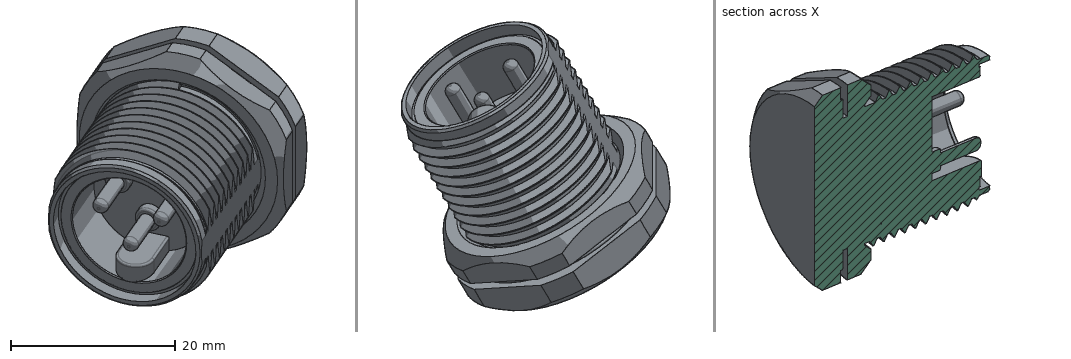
import cadquery as cq
import math


CORNER_DIAMETER = 28.95
ACROSS_FLATS = 27.0
TOTAL_LENGTH = 26.5

FLANGE_LENGTH = 4.03
FLANGE_CHAMFER = 1.22
SEAL_LENGTH = 0.35
SEAL_RADIUS = 12.68
SEAL_ROUNDING = 0.32
NECK_LENGTH = 0.6
NECK_RADIUS = 9.82

NUT_LENGTH = 3.6
NUT_CHAMFER = 1.53
NUT_BORE_RADIUS = 10.43
NUT_COUNTERSINK = 0.93

STEM_FLAT_DISTANCE = 10.0
ROOT_RADIUS = 10.16
CREST_RADIUS = 11.03
CREST_SPAN = 14.28
CREST_TURNS = 9
SPARE_TURNS = 2.4
CREST_WIDTH = 0.15
TRIM_CLEARANCE = 0.3
RIDGE_SINK = 0.1
FLANK_ANGLE = 30.0
TOP_CREST_OFFSET = 9.73
LAND_RADIUS = 10.15
LAND_LENGTH = 1.5
END_CHAMFER = 0.3

MOUTH_RADIUS = 9.3
GROOVE_DEPTH = 1.6
INSERT_RADIUS = 8.9
INSERT_DEPTH = 1.42
SOCKET_CHAMFER = 0.15
SOCKET_RADIUS = 7.4
SOCKET_DEPTH = 8.7

PIN_RADIUS = 0.98
PIN_TIP_DEPTH = 1.33
PIN_TIP_FLAT = 0.17
COLLAR_RADIUS = 1.62
COLLAR_ROUNDING = 0.35
COLLAR_LENGTH = 1.3
PIN_CENTRES = [(-3.95, 2.3), (3.95, 2.3), (0, -2.35)]

KEY_WIDTH = 4.8
KEY_TOP = -4.95
KEY_TIP_DEPTH = 1.25
KEY_EDGE_RADIUS = 0.3

PITCH = CREST_SPAN / CREST_TURNS
FLANGE_FRONT = -FLANGE_LENGTH
SEAL_FRONT = FLANGE_FRONT - SEAL_LENGTH
NUT_BACK = SEAL_FRONT - NECK_LENGTH
NUT_FRONT = NUT_BACK - NUT_LENGTH
END = -TOTAL_LENGTH
LAND_BACK = END + LAND_LENGTH
SOCKET_FLOOR = END + SOCKET_DEPTH
CORNER_RADIUS = CORNER_DIAMETER / 2


def revolve(profile):
    """Turn a closed (radius, Y) outline about the Y axis."""
    return cq.Workplane("XY").polyline(profile).close().revolve(360, (0, 0, 0), (0, 1, 0))


def cylinder(radius, y_start, y_stop, x=0, z=0):
    """Round bar parallel to Y."""
    return cq.Workplane("XZ", origin=(x, y_start, z)).circle(radius).extrude(y_start - y_stop)


def hexagon(y_back, y_front):
    """Hexagonal bar with flats facing +X and -X."""
    return (
        cq.Workplane("XZ", origin=(0, y_back, 0))
        .polygon(6, ACROSS_FLATS, circumscribed=True)
        .extrude(y_back - y_front)
    )


def make_flange():
    """Hexagonal flange with its rounded sealing ring and the neck behind the nut."""
    turned = revolve([
        (0, 0),
        (CORNER_RADIUS - FLANGE_CHAMFER, 0),
        (CORNER_RADIUS, -FLANGE_CHAMFER),
        (CORNER_RADIUS, FLANGE_FRONT),
        (0, FLANGE_FRONT),
    ])
    seal = cylinder(SEAL_RADIUS, FLANGE_FRONT, SEAL_FRONT).faces("<Y").edges().fillet(SEAL_ROUNDING)
    neck = cylinder(NECK_RADIUS, FLANGE_FRONT, NUT_BACK)
    return hexagon(0, FLANGE_FRONT).intersect(turned).union(seal).union(neck)


def make_nut():
    """Hexagonal nut, chamfered and countersunk on its front face."""
    turned = revolve([
        (NUT_BORE_RADIUS, NUT_BACK),
        (CORNER_RADIUS, NUT_BACK),
        (CORNER_RADIUS, NUT_FRONT + NUT_CHAMFER),
        (CORNER_RADIUS - NUT_CHAMFER, NUT_FRONT),
        (NUT_BORE_RADIUS + NUT_COUNTERSINK, NUT_FRONT),
        (NUT_BORE_RADIUS, NUT_FRONT + NUT_COUNTERSINK),
    ])
    return hexagon(NUT_BACK, NUT_FRONT).intersect(turned)


def make_thread():
    """Right-handed helical ridge, sunk slightly into the stem."""
    half_crest = CREST_WIDTH / 2
    half_base = half_crest + (CREST_RADIUS - ROOT_RADIUS + RIDGE_SINK) * math.tan(math.radians(FLANK_ANGLE))
    base_radius = ROOT_RADIUS - RIDGE_SINK
    helix = cq.Wire.makeHelix(PITCH, CREST_SPAN + SPARE_TURNS * PITCH, ROOT_RADIUS)
    ridge = (
        cq.Workplane("XZ")
        .polyline([
            (base_radius, -half_base),
            (CREST_RADIUS, -half_crest),
            (CREST_RADIUS, half_crest),
            (base_radius, half_base),
        ])
        .close()
        .sweep(cq.Workplane(helix), isFrenet=True)
    )
    start = -TOP_CREST_OFFSET + PITCH
    return (
        ridge.rotate((0, 0, 0), (0, 0, 1), 90)
        .rotate((0, 0, 0), (1, 0, 0), 90)
        .translate((0, start, 0))
    )


def make_stem():
    """Threaded stem with a plain land at the open end and two side flats."""
    engaged = NUT_FRONT + NUT_COUNTERSINK
    core = revolve([
        (0, NUT_BACK),
        (NUT_BORE_RADIUS, NUT_BACK),
        (NUT_BORE_RADIUS, engaged),
        (ROOT_RADIUS, engaged),
        (ROOT_RADIUS, LAND_BACK),
        (LAND_RADIUS, LAND_BACK),
        (LAND_RADIUS, END + END_CHAMFER),
        (LAND_RADIUS - END_CHAMFER, END),
        (0, END),
    ])
    trim_radius = CREST_RADIUS + TRIM_CLEARANCE
    trim = revolve([
        (0, engaged),
        (trim_radius, engaged),
        (trim_radius, LAND_BACK + trim_radius - LAND_RADIUS),
        (LAND_RADIUS, LAND_BACK),
        (0, LAND_BACK),
    ])
    flats = cq.Workplane("XY").box(2 * STEM_FLAT_DISTANCE, 2 * TOTAL_LENGTH, CORNER_DIAMETER)
    return core.intersect(flats).union(make_thread().intersect(trim.intersect(flats)))


def make_socket():
    """Space cut from the open end: round mouth, groove around the insert, and pin socket."""
    insert_face = END + INSERT_DEPTH
    return revolve([
        (0, END),
        (MOUTH_RADIUS, END),
        (MOUTH_RADIUS, END + GROOVE_DEPTH),
        (INSERT_RADIUS, END + GROOVE_DEPTH),
        (INSERT_RADIUS, insert_face),
        (SOCKET_RADIUS + SOCKET_CHAMFER, insert_face),
        (SOCKET_RADIUS, insert_face + SOCKET_CHAMFER),
        (SOCKET_RADIUS, SOCKET_FLOOR),
        (0, SOCKET_FLOOR),
    ])


def make_pin(x, z):
    """Contact pin with a domed tip and a rounded collar at the socket floor."""
    dome = PIN_RADIUS - PIN_TIP_FLAT
    pin = cylinder(PIN_RADIUS, SOCKET_FLOOR, END + PIN_TIP_DEPTH, x, z).faces("<Y").edges().fillet(dome)
    collar = cylinder(COLLAR_RADIUS, SOCKET_FLOOR, SOCKET_FLOOR - COLLAR_LENGTH, x, z)
    return pin.union(collar.faces("<Y").edges().fillet(COLLAR_ROUNDING))


def make_key():
    """Key along the socket wall with a half-round end and rounded upper edge."""
    half_width = KEY_WIDTH / 2
    arc_centre = END + KEY_TIP_DEPTH + half_width
    bar = (
        cq.Workplane("XY", origin=(0, 0, KEY_TOP))
        .moveTo(-half_width, SOCKET_FLOOR)
        .lineTo(-half_width, arc_centre)
        .threePointArc((0, arc_centre - half_width), (half_width, arc_centre))
        .lineTo(half_width, SOCKET_FLOOR)
        .close()
        .extrude(-(SOCKET_RADIUS + KEY_TOP))
        .edges(">Z and (not >Y)")
        .fillet(KEY_EDGE_RADIUS)
    )
    return bar.intersect(cylinder(SOCKET_RADIUS, SOCKET_FLOOR, END))


result = make_flange().union(make_nut()).union(make_stem()).cut(make_socket()).union(make_key())
for pin_x, pin_z in PIN_CENTRES:
    result = result.union(make_pin(pin_x, pin_z))